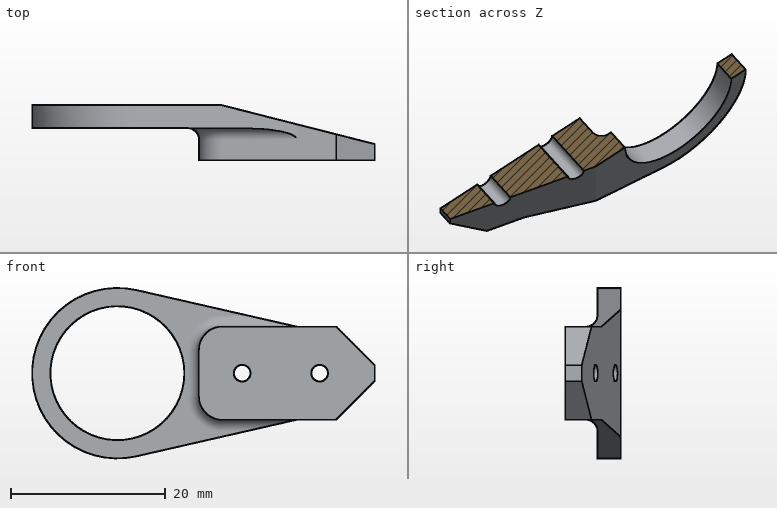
import cadquery as cq
import math

total_length = 44.25
ring_radius = 11.0
ring_hole_radius = 8.65
plate_thickness = 3.0

total_depth = 7.15
pad_start = 10.55
pad_end = total_length - ring_radius
pad_half_height = 6.0
pad_corner_radius = 3.0
tip_half_height = 1.0
tip_start = pad_end - (pad_half_height - tip_half_height)
pad_fillet = 1.45

screw_hole_radius = 1.05
screw_hole_positions = (16.1, 26.1)

taper_start = 13.4
tip_thickness = 2.12

side_meet_x = 23.15
side_angle = (
    math.pi / 2
    - math.atan2(pad_half_height, side_meet_x)
    - math.acos(ring_radius / math.hypot(side_meet_x, pad_half_height))
)
tangent_x = ring_radius * math.sin(side_angle)
tangent_z = ring_radius * math.cos(side_angle)


def plate_outline():
    """Round ring end with straight tangent sides closing in on the pad."""
    return (
        cq.Workplane("XZ")
        .moveTo(tangent_x, tangent_z)
        .threePointArc((-ring_radius, 0), (tangent_x, -tangent_z))
        .lineTo(side_meet_x, -pad_half_height)
        .lineTo(side_meet_x, pad_half_height)
        .close()
    )


def make_pad():
    """Full-depth pad: rounded at the ring end, pointed at the other."""
    pad = (
        cq.Workplane("XZ")
        .moveTo(pad_start, -pad_half_height)
        .lineTo(tip_start, -pad_half_height)
        .lineTo(pad_end, -tip_half_height)
        .lineTo(pad_end, tip_half_height)
        .lineTo(tip_start, pad_half_height)
        .lineTo(pad_start, pad_half_height)
        .close()
        .extrude(total_depth)
    )
    return pad.edges("|Y and <X").fillet(pad_corner_radius)


def make_filleted_base(pad):
    """Pad blended into an oversized slab, then trimmed to the plate sides."""
    slab = (
        cq.Workplane("XZ")
        .rect(4 * total_length, 2 * total_length)
        .extrude(plate_thickness)
    )
    base_corner = (pad_start, -plate_thickness, 0)
    blended = slab.union(pad)
    blended = blended.edges(cq.selectors.NearestToPointSelector(base_corner)).fillet(pad_fillet)
    return blended.intersect(plate_outline().extrude(total_depth))


def make_back_taper():
    """Wedge removed behind the pad to thin it toward the tip."""
    return (
        cq.Workplane("XY")
        .moveTo(taper_start, 0)
        .lineTo(pad_end, tip_thickness - total_depth)
        .lineTo(pad_end, 0)
        .close()
        .extrude(ring_radius, both=True)
    )


def make_holes():
    """Large ring hole and the two screw holes."""
    ring_hole = cq.Workplane("XZ").circle(ring_hole_radius).extrude(total_depth)
    screw_holes = (
        cq.Workplane("XZ")
        .pushPoints([(x, 0) for x in screw_hole_positions])
        .circle(screw_hole_radius)
        .extrude(total_depth)
    )
    return ring_hole.union(screw_holes)


pad = make_pad()
result = make_filleted_base(pad).union(pad).cut(make_back_taper()).cut(make_holes())